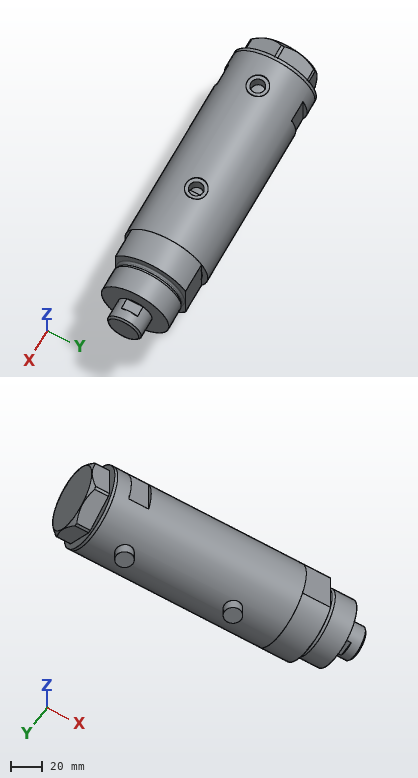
import cadquery as cq
import math


TOTAL_LENGTH = 211.2
TOTAL_HEIGHT = 66.0
HEAD_LENGTH = 12.9
FLANGE_LENGTH = 2.1
BARREL_START = HEAD_LENGTH + FLANGE_LENGTH
BARREL_END = 155.0
GLAND_BODY_END = 176.0
COLLAR_START = 180.0
COLLAR_END = 196.0
CAP_PLUG_END = 38.5
GLAND_PLUG_START = 117.5

OUTER_DIAMETER = 59.0
OUTER_RADIUS = OUTER_DIAMETER / 2
BORE_RADIUS = 20.0
GLAND_SEAT_RADIUS = 25.5
COLLAR_RADIUS = 24.0
NECK_RADIUS = 23.0
ROD_RADIUS = 12.0
ROD_DIAMETER = 2 * ROD_RADIUS

HEAD_ACROSS_FLATS = 46.0
HEAD_CORNER_RADIUS = 26.0
HEAD_FACE_RADIUS = 22.8
HEAD_CHAMFER_LENGTH = 2.7

WRENCH_FLAT_START = 25.1
WRENCH_FLAT_LENGTH = 14.8
WRENCH_ACROSS_FLATS = 53.0
PORT_X = 35.5
PORT_PITCH = 80.5
PORT_RADIUS = 4.9
SPOTFACE_RADIUS = 7.4
SPOTFACE_DEPTH = 1.0
PEG_OFFSET = 3.4
PEG_RADIUS = 6.1
PEG_BOTTOM = OUTER_RADIUS - TOTAL_HEIGHT

GLAND_ACROSS_FLATS = 50.0
NECK_FILLET = 1.3
NECK_CONE_LENGTH = 1.7

ROD_FLAT_END = 203.4
ROD_ACROSS_FLATS = 21.1
ROD_CHAMFER = 1.3


def cylinder_x(start, end, radius):
    """Solid cylinder on the main axis between two X stations."""
    return cq.Workplane("YZ", origin=(start, 0, 0)).circle(radius).extrude(end - start)


def cylinder_z(x, bottom, top, radius):
    """Solid vertical cylinder at the given X."""
    return cq.Workplane("XY", origin=(x, 0, bottom)).circle(radius).extrude(top - bottom)


def slab(start, end, size_y, size_z):
    """Box centred on the main axis between two X stations."""
    return cq.Workplane("YZ", origin=(start, 0, 0)).rect(size_y, size_z).extrude(end - start)


def make_cap():
    """Chamfered hexagonal head, flange and plug that fits the barrel bore."""
    corner_diameter = HEAD_ACROSS_FLATS / math.cos(math.pi / 6)
    hexagon = (
        cq.Workplane("YZ")
        .transformed(rotate=(0, 0, 90))
        .polygon(6, corner_diameter)
        .extrude(HEAD_LENGTH)
    )
    turned_envelope = (
        cq.Workplane("XY")
        .moveTo(0, 0)
        .lineTo(0, HEAD_FACE_RADIUS)
        .lineTo(HEAD_CHAMFER_LENGTH, HEAD_CORNER_RADIUS)
        .lineTo(HEAD_LENGTH, HEAD_CORNER_RADIUS)
        .lineTo(HEAD_LENGTH, 0)
        .close()
        .revolve(360, (0, 0, 0), (1, 0, 0))
    )
    head = hexagon.intersect(turned_envelope)
    flange = cylinder_x(HEAD_LENGTH, BARREL_START, OUTER_RADIUS)
    plug = cylinder_x(BARREL_START, CAP_PLUG_END, BORE_RADIUS)
    return head.union(flange).union(plug)


def make_barrel():
    """Tube with a stepped bore, two wrench flats, two ports on top and two pegs below."""
    tube = cylinder_x(BARREL_START, BARREL_END, OUTER_RADIUS)

    wrench_flat_end = WRENCH_FLAT_START + WRENCH_FLAT_LENGTH
    band = slab(WRENCH_FLAT_START, wrench_flat_end, OUTER_DIAMETER, OUTER_DIAMETER)
    kept = slab(WRENCH_FLAT_START, wrench_flat_end, WRENCH_ACROSS_FLATS, OUTER_DIAMETER)
    tube = tube.cut(band.cut(kept))

    for port_x in (PORT_X, PORT_X + PORT_PITCH):
        spotface_floor = OUTER_RADIUS - SPOTFACE_DEPTH
        tube = tube.union(cylinder_z(port_x + PEG_OFFSET, PEG_BOTTOM, 0, PEG_RADIUS))
        tube = tube.cut(cylinder_z(port_x, 0, OUTER_RADIUS, PORT_RADIUS))
        tube = tube.cut(cylinder_z(port_x, spotface_floor, OUTER_RADIUS, SPOTFACE_RADIUS))

    bore = cylinder_x(BARREL_START, BARREL_END, BORE_RADIUS)
    gland_seat = cylinder_x(GLAND_PLUG_START, BARREL_END, GLAND_SEAT_RADIUS)
    return tube.cut(bore).cut(gland_seat)


def make_gland():
    """Plug in the wider end of the bore, body with two flats, grooved neck and end collar."""
    plug = cylinder_x(GLAND_PLUG_START, BARREL_END, GLAND_SEAT_RADIUS)
    body = cylinder_x(BARREL_END, GLAND_BODY_END, OUTER_RADIUS).intersect(
        slab(BARREL_END, GLAND_BODY_END, GLAND_ACROSS_FLATS, OUTER_DIAMETER)
    )
    neck_and_collar = (
        cq.Workplane("XY")
        .moveTo(GLAND_BODY_END, 0)
        .lineTo(GLAND_BODY_END, NECK_RADIUS + NECK_FILLET)
        .radiusArc((GLAND_BODY_END + NECK_FILLET, NECK_RADIUS), -NECK_FILLET)
        .lineTo(COLLAR_START - NECK_CONE_LENGTH, NECK_RADIUS)
        .lineTo(COLLAR_START, COLLAR_RADIUS)
        .lineTo(COLLAR_END, COLLAR_RADIUS)
        .lineTo(COLLAR_END, 0)
        .close()
        .revolve(360, (0, 0, 0), (1, 0, 0))
    )
    rod_bore = cylinder_x(GLAND_PLUG_START, COLLAR_END, ROD_RADIUS)
    return plug.union(body).union(neck_and_collar).cut(rod_bore)


def make_rod():
    """Rod from the cap plug out through the gland, with two flats near its tip."""
    rod = cylinder_x(CAP_PLUG_END, TOTAL_LENGTH, ROD_RADIUS).faces(">X").chamfer(ROD_CHAMFER)
    band = slab(COLLAR_END, ROD_FLAT_END, ROD_DIAMETER, ROD_DIAMETER)
    kept = slab(COLLAR_END, ROD_FLAT_END, ROD_DIAMETER, ROD_ACROSS_FLATS)
    return rod.cut(band.cut(kept))


cap = make_cap()
barrel = make_barrel()
gland = make_gland()
rod = make_rod()

result = cq.Compound.makeCompound([cap.val(), barrel.val(), gland.val(), rod.val()])